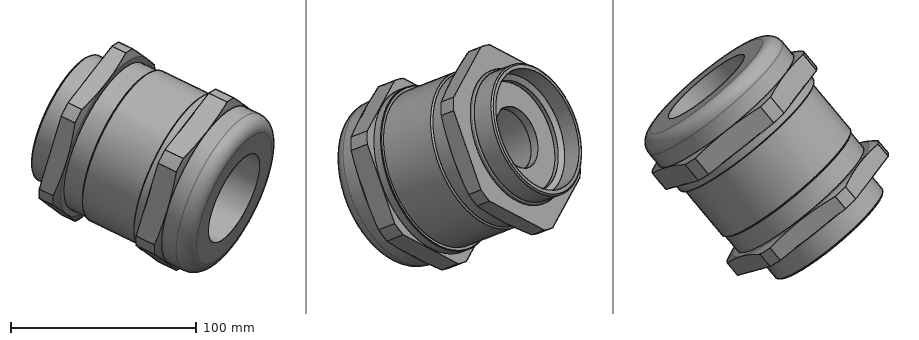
import cadquery as cq
import math

thread_end = 12.7
front_hex_start = 14.6
front_hex_end = 25.1
barrel_start = 36.7
cap_start = 71.0
cap_hex_start = 76.1
cap_hex_end = 88.9
length = 106.0

thread_d = 75.0
collar_d = 77.4
neck_d = 88.0
barrel_d = 90.0
cap_d = 94.0

across_flats = 95.0
across_corners = 105.3
front_hex_chamfer_angle = 18.0
cap_hex_chamfer_angle = 14.0

thread_chamfer = 0.8
collar_round = 0.7
barrel_chamfer_length = 0.8
cap_chamfer = 0.4
cap_round = 8.0

mouth_d = 69.0
seat_d = 63.1
web_hole_d = 35.0
rear_bore_d = 53.0
mouth_end = 10.2
seat_start = 12.2
web_start = 14.6
web_end = 19.5


def cylinder(start, end, diameter):
    """Solid cylinder on the X axis between two stations."""
    return cq.Workplane("YZ", origin=(start, 0, 0)).circle(diameter / 2).extrude(end - start)


def hexagon(start, end, chamfer_angle):
    """Hexagon with turned corners and a conical chamfer on its +X face."""
    circumscribed_d = across_flats / math.cos(math.pi / 6)
    prism = cq.Workplane("YZ", origin=(start, 0, 0)).polygon(6, circumscribed_d).extrude(end - start)
    corner_depth = (across_corners - across_flats) / 2
    chamfer_length = corner_depth * math.tan(math.radians(chamfer_angle))
    envelope = (
        cylinder(start, end, across_corners)
        .faces(">X")
        .chamfer(chamfer_length, corner_depth)
    )
    return prism.intersect(envelope)


def bore():
    """Front mouth, conical seat, web hole and wider rear bore as one turned body."""
    return (
        cq.Workplane("XY")
        .moveTo(0, 0)
        .lineTo(0, mouth_d / 2)
        .lineTo(mouth_end, mouth_d / 2)
        .lineTo(seat_start, seat_d / 2)
        .lineTo(web_start, seat_d / 2)
        .lineTo(web_start, web_hole_d / 2)
        .lineTo(web_end, web_hole_d / 2)
        .lineTo(web_end, rear_bore_d / 2)
        .lineTo(length, rear_bore_d / 2)
        .lineTo(length, 0)
        .close()
        .revolve(360, (0, 0, 0), (1, 0, 0))
    )


thread = cylinder(0, thread_end, thread_d).faces("<X").chamfer(thread_chamfer)
collar = cylinder(thread_end, front_hex_start, collar_d).faces("<X").edges().fillet(collar_round)
neck = cylinder(front_hex_end, barrel_start, neck_d)
barrel_chamfer_depth = (barrel_d - neck_d) / 2
barrel = (
    cylinder(barrel_start, cap_start, barrel_d)
    .faces("<X")
    .chamfer(barrel_chamfer_length, barrel_chamfer_depth)
)
cap = (
    cylinder(cap_start, length, cap_d)
    .faces("<X").chamfer(cap_chamfer)
    .faces(">X").edges().fillet(cap_round)
)

front_hex = hexagon(front_hex_start, front_hex_end, front_hex_chamfer_angle)
cap_hex = hexagon(cap_hex_start, cap_hex_end, cap_hex_chamfer_angle)

result = thread
for section in (collar, front_hex, neck, barrel, cap, cap_hex):
    result = result.union(section)
result = result.cut(bore())